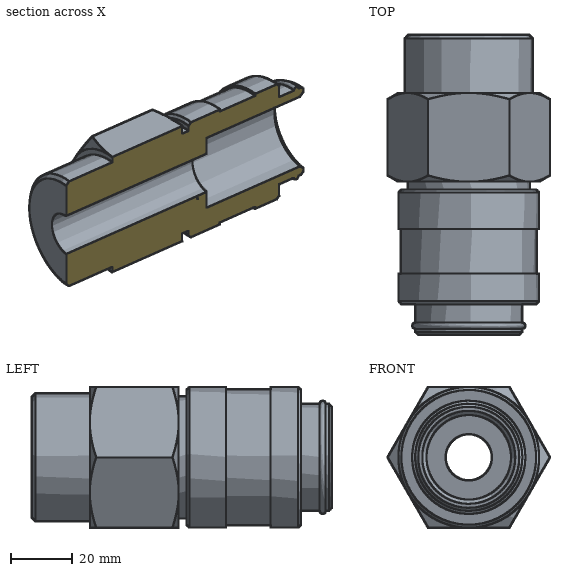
import cadquery as cq
import math


spigot_radius = 20.955
spigot_chamfer = 1.25

hex_sides = 6
hex_across_flats = 46.0
hex_start = 19.0
hex_end = 48.0
hex_bevel_angle = 30.0

neck_radius = 20.0
sleeve_radius = 23.0
sleeve_start = 50.5
sleeve_end = 88.0
sleeve_chamfer = 1.0
grip_radius = 22.25
grip_start = 63.5
grip_end = 78.0

total_length = 98.0
nozzle_radius = 17.5
nozzle_chamfer = 1.0
bead_radius = 1.0
bead_station = 95.0

socket_radius = 13.8
socket_depth = 40.0
socket_chamfer = 1.4
passage_radius = 7.5


def revolve_about_y(profile):
    """Turn a closed half-profile, drawn with X as radius, about the Y axis."""
    return profile.close().revolve(360, (0, 0, 0), (0, 1, 0))


def turned_body():
    """Spigot, neck, sleeve with its recessed grip band, and nozzle."""
    profile = (
        cq.Workplane("XY")
        .moveTo(0, 0)
        .lineTo(spigot_radius - spigot_chamfer, 0)
        .lineTo(spigot_radius, -spigot_chamfer)
        .lineTo(spigot_radius, -hex_start)
        .lineTo(neck_radius, -hex_start)
        .lineTo(neck_radius, -sleeve_start)
        .lineTo(sleeve_radius - sleeve_chamfer, -sleeve_start)
        .lineTo(sleeve_radius, -sleeve_start - sleeve_chamfer)
        .lineTo(sleeve_radius, -grip_start)
        .lineTo(grip_radius, -grip_start)
        .lineTo(grip_radius, -grip_end)
        .lineTo(sleeve_radius, -grip_end)
        .lineTo(sleeve_radius, -sleeve_end + sleeve_chamfer)
        .lineTo(sleeve_radius - sleeve_chamfer, -sleeve_end)
        .lineTo(nozzle_radius, -sleeve_end)
        .lineTo(nozzle_radius, -bead_station + bead_radius)
        .threePointArc(
            (nozzle_radius + bead_radius, -bead_station),
            (nozzle_radius, -bead_station - bead_radius),
        )
        .lineTo(nozzle_radius, -total_length + nozzle_chamfer)
        .lineTo(nozzle_radius - nozzle_chamfer, -total_length)
        .lineTo(0, -total_length)
    )
    return revolve_about_y(profile)


def hex_section():
    """Hexagon with corners on the X axis and both ends bevelled conically."""
    flat_radius = hex_across_flats / 2
    corner_radius = flat_radius / math.cos(math.pi / hex_sides)
    bevel_depth = (corner_radius - flat_radius) * math.tan(math.radians(hex_bevel_angle))

    prism = (
        cq.Workplane("XZ", origin=(0, -hex_start, 0))
        .polygon(hex_sides, 2 * corner_radius)
        .extrude(hex_end - hex_start)
    )
    envelope = (
        cq.Workplane("XY")
        .moveTo(0, -hex_start)
        .lineTo(flat_radius, -hex_start)
        .lineTo(corner_radius, -hex_start - bevel_depth)
        .lineTo(corner_radius, -hex_end + bevel_depth)
        .lineTo(flat_radius, -hex_end)
        .lineTo(0, -hex_end)
    )
    return prism.intersect(revolve_about_y(envelope))


def stepped_bore():
    """Chamfered front socket leading into a passage through the rear end."""
    socket_floor = total_length - socket_depth
    profile = (
        cq.Workplane("XY")
        .moveTo(0, 0)
        .lineTo(passage_radius, 0)
        .lineTo(passage_radius, -socket_floor)
        .lineTo(socket_radius, -socket_floor)
        .lineTo(socket_radius, -total_length + socket_chamfer)
        .lineTo(socket_radius + socket_chamfer, -total_length)
        .lineTo(0, -total_length)
    )
    return revolve_about_y(profile)


result = turned_body().union(hex_section()).cut(stepped_bore())